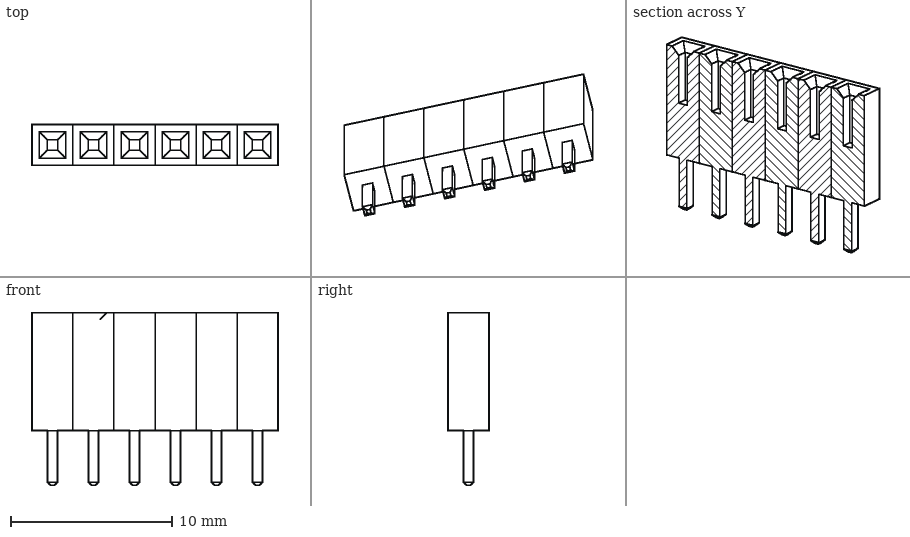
import cadquery as cq

row_length = 15.24
module_count = 6
pitch = row_length / module_count

overall_height = 10.7
block_height = 7.32
pin_length = overall_height - block_height

pin_width = 0.64
tip_chamfer = 0.2

mouth_width = 1.66
bore_width = pin_width
mouth_depth = (mouth_width - bore_width) / 2
bore_depth = block_height / 2


def make_block():
    """Square column standing on z = 0."""
    return cq.Workplane("XY").rect(pitch, pitch).extrude(block_height)


def make_pin():
    """Square pin hanging below the block, with its end chamfered all round."""
    pin = cq.Workplane("XY").rect(pin_width, pin_width).extrude(-pin_length)
    return pin.faces("<Z").chamfer(tip_chamfer)


def make_socket():
    """Volume removed from the block: tapered mouth plus straight bore."""
    mouth = (
        cq.Workplane("XY")
        .workplane(offset=block_height)
        .rect(mouth_width, mouth_width)
        .workplane(offset=-mouth_depth)
        .rect(bore_width, bore_width)
        .loft()
    )
    bore = (
        cq.Workplane("XY")
        .workplane(offset=block_height - bore_depth)
        .rect(bore_width, bore_width)
        .extrude(bore_depth)
    )
    return mouth.union(bore)


def make_module(center_x):
    """One connector module, block and pin in one piece, centred at center_x."""
    module = make_block().union(make_pin()).cut(make_socket())
    return module.translate((center_x, 0, 0))


first_center = (pitch - row_length) / 2
modules = [make_module(first_center + index * pitch) for index in range(module_count)]

result = cq.Compound.makeCompound([module.solids().val() for module in modules])